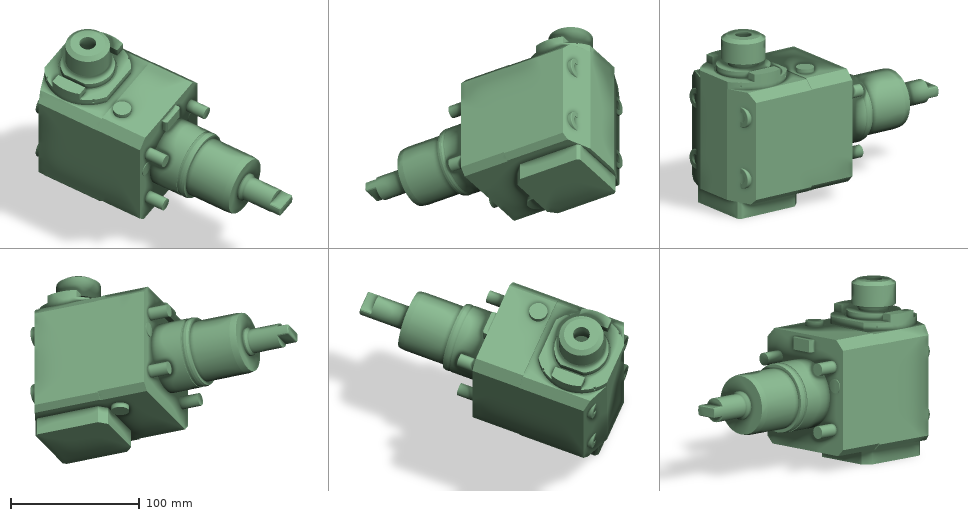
import cadquery as cq


HOUSING_WIDTH = 84.0
HOUSING_END_X = 103.6
HOUSING_SPLIT_X = 64.0
HOUSING_BOTTOM_Z = -45.0
FRONT_TOP_Z = 46.2
REAR_TOP_Z = 47.0
FRONT_TOP_CHAMFER = 7.0
REAR_TOP_CHAMFER = 7.5
FRONT_BOTTOM_CHAMFER = 4.5
REAR_BOTTOM_CHAMFER = 5.5
NOSE_FLAT_WIDTH = 35.0
NOSE_LENGTH = 10.0

FOOT_BOTTOM_Z = -59.0
FOOT_START_X = 3.8
FOOT_END_X = HOUSING_SPLIT_X
FOOT_WIDTH = 56.0
FOOT_FRONT_CHAMFER = 2.2
FOOT_REAR_CHAMFER = 6.0

SPINDLE_X = 28.8
PLATE_RADIUS = 33.9
PLATE_HALF_LENGTH = SPINDLE_X
PLATE_TOP_Z = 52.1
PLATE_RECESS_RADIUS = 23.1
PLATE_RECESS_DEPTH = 0.5
LUG_TOP_Z = 58.4
LUG_LENGTH = 25.0
LUG_INNER_Y = 23.3
MARK_ANGLE = 50.0
MARK_WIDTH = 1.6
MARK_HEIGHT = 3.8
MARK_DEPTH = 1.0

COLLAR_RADIUS = 21.3
COLLAR_FLATS = 38.0
COLLAR_TOP_Z = 56.7
NECK_RADIUS = 12.0
UPPER_NECK_RADIUS = 12.6
UPPER_NECK_Z = 58.4
NUT_RADIUS = 17.4
NUT_BOTTOM_Z = 61.5
NUT_TOP_Z = 80.66
NUT_TOP_RADIUS = 13.6
NUT_CHAMFER_HEIGHT = 2.5
NUT_HOLE_RADIUS = 6.5
NUT_HOLE_DEPTH = 15.0

SCREW_Y = 30.0
SCREW_Z = 25.0
SCREW_SHANK_RADIUS = 5.0
SCREW_END_X = 119.5
SCREW_HEAD_RADIUS = 8.2
SCREW_HEAD_X = 4.6
SCREW_HEAD_EDGE = 0.7
SCREW_SOCKET_RADIUS = 4.0

PLUG_X = 73.5
PLUG_Y = -20.5
PLUG_RADIUS = 7.15
PLUG_TOP_Z = 50.8
PLUG_BOTTOM_Z = -49.0

KEY_END_X = 108.2
KEY_WIDTH = 20.0
KEY_BOTTOM_Z = 34.2
KEY_TOP_Z = 43.8
KEY_CHAMFER = 1.3
DISC_Y = 33.2
DISC_Z = 10.2
DISC_RADIUS = 5.6
DISC_THICKNESS = 0.6

FLANGE_RADIUS = 27.4
SEAL_START_X = 128.2
SEAL_RISE_X = 129.0
SEAL_CREST_X = 130.8
SEAL_CREST_END_X = 132.7
SEAL_END_X = 134.7
SEAL_ROOT_RADIUS = 26.8
PILOT_RADIUS = 24.0
PILOT_ROUND_X = 168.5
PILOT_END_X = 173.7
PILOT_END_RADIUS = 23.2
SHOULDER_RADIUS = 11.2
SHOULDER_TAPER_X = 175.6
SHOULDER_END_X = 177.5
SHAFT_RADIUS = 9.5
TANG_START_X = 202.4
SHAFT_END_X = 212.0
TANG_THICKNESS = 8.3
TANG_CHAMFER = 0.6

EMBED = 5.0


def cylinder_z(x, y, radius, bottom, top):
    return cq.Workplane("XY", origin=(x, y, bottom)).circle(radius).extrude(top - bottom)


def cylinder_x(y, z, radius, start, end):
    return cq.Workplane("YZ", origin=(start, y, z)).circle(radius).extrude(end - start)


def block(x_range, y_range, z_range):
    sizes = [high - low for low, high in (x_range, y_range, z_range)]
    corner = (x_range[0], y_range[0], z_range[0])
    return cq.Workplane("XY").box(*sizes, centered=False).translate(corner)


def housing_section(start, end, top, top_chamfer, bottom_chamfer):
    """Length of housing with the long upper and lower edges chamfered."""
    half = HOUSING_WIDTH / 2
    body = block((start, end), (-half, half), (HOUSING_BOTTOM_Z, top))
    body = body.faces(">Z").edges("|X").chamfer(top_chamfer)
    return body.faces("<Z").edges("|X").chamfer(bottom_chamfer)


def make_housing():
    half = HOUSING_WIDTH / 2
    nose_half = NOSE_FLAT_WIDTH / 2
    front = housing_section(0, HOUSING_SPLIT_X, FRONT_TOP_Z, FRONT_TOP_CHAMFER, FRONT_BOTTOM_CHAMFER)
    plan = (
        cq.Workplane("XY", origin=(0, 0, HOUSING_BOTTOM_Z))
        .moveTo(0, -nose_half)
        .lineTo(NOSE_LENGTH, -half)
        .lineTo(HOUSING_SPLIT_X, -half)
        .lineTo(HOUSING_SPLIT_X, half)
        .lineTo(NOSE_LENGTH, half)
        .lineTo(0, nose_half)
        .close()
        .extrude(FRONT_TOP_Z - HOUSING_BOTTOM_Z)
    )
    rear = housing_section(
        HOUSING_SPLIT_X, HOUSING_END_X, REAR_TOP_Z, REAR_TOP_CHAMFER, REAR_BOTTOM_CHAMFER
    )
    return front.intersect(plan).union(rear)


def make_foot():
    half = FOOT_WIDTH / 2
    foot = block((FOOT_START_X, FOOT_END_X), (-half, half), (FOOT_BOTTOM_Z, HOUSING_BOTTOM_Z))
    foot = foot.faces("<X").edges("|Z").chamfer(FOOT_FRONT_CHAMFER)
    return foot.faces(">X").edges("|Z").chamfer(FOOT_REAR_CHAMFER)


def make_plate():
    """Round plate with two side flats, a shallow recess, two drive lugs and four rim grooves."""
    x_range = (SPINDLE_X - PLATE_HALF_LENGTH, SPINDLE_X + PLATE_HALF_LENGTH)
    y_range = (-PLATE_RADIUS, PLATE_RADIUS)
    outline = cylinder_z(SPINDLE_X, 0, PLATE_RADIUS, FRONT_TOP_Z, LUG_TOP_Z)
    plate = outline.intersect(block(x_range, y_range, (FRONT_TOP_Z, PLATE_TOP_Z)))

    lug_x = (SPINDLE_X - LUG_LENGTH / 2, SPINDLE_X + LUG_LENGTH / 2)
    for lug_y in ((LUG_INNER_Y, PLATE_RADIUS), (-PLATE_RADIUS, -LUG_INNER_Y)):
        plate = plate.union(outline.intersect(block(lug_x, lug_y, (FRONT_TOP_Z, LUG_TOP_Z))))

    recess_floor = PLATE_TOP_Z - PLATE_RECESS_DEPTH
    plate = plate.cut(cylinder_z(SPINDLE_X, 0, PLATE_RECESS_RADIUS, recess_floor, PLATE_TOP_Z))

    half_mark = MARK_WIDTH / 2
    groove = (
        cq.Workplane("YZ", origin=(PLATE_RADIUS - MARK_DEPTH, 0, PLATE_TOP_Z))
        .moveTo(-half_mark, 0)
        .lineTo(-half_mark, half_mark - MARK_HEIGHT)
        .threePointArc((0, -MARK_HEIGHT), (half_mark, half_mark - MARK_HEIGHT))
        .lineTo(half_mark, 0)
        .close()
        .extrude(2 * MARK_DEPTH)
    )
    for angle in (MARK_ANGLE, 180 - MARK_ANGLE, 180 + MARK_ANGLE, -MARK_ANGLE):
        turned = groove.rotate((0, 0, 0), (0, 0, 1), angle)
        plate = plate.cut(turned.translate((SPINDLE_X, 0, 0)))
    return plate


def make_spindle():
    """Collar with two wrench flats, stepped neck and bored clamping nut."""
    half_flats = COLLAR_FLATS / 2
    collar = cylinder_z(SPINDLE_X, 0, COLLAR_RADIUS, FRONT_TOP_Z, COLLAR_TOP_Z).intersect(
        block(
            (SPINDLE_X - COLLAR_RADIUS, SPINDLE_X + COLLAR_RADIUS),
            (-half_flats, half_flats),
            (FRONT_TOP_Z, COLLAR_TOP_Z),
        )
    )
    neck = cylinder_z(SPINDLE_X, 0, NECK_RADIUS, COLLAR_TOP_Z, UPPER_NECK_Z)
    upper_neck = cylinder_z(SPINDLE_X, 0, UPPER_NECK_RADIUS, UPPER_NECK_Z, NUT_BOTTOM_Z)
    nut = cylinder_z(SPINDLE_X, 0, NUT_RADIUS, NUT_BOTTOM_Z, NUT_TOP_Z)
    nut = nut.faces(">Z").edges().chamfer(NUT_CHAMFER_HEIGHT, NUT_RADIUS - NUT_TOP_RADIUS)
    hole = cylinder_z(SPINDLE_X, 0, NUT_HOLE_RADIUS, NUT_TOP_Z - NUT_HOLE_DEPTH, NUT_TOP_Z)
    return collar.union(neck).union(upper_neck).union(nut).cut(hole)


def make_screw(y, z):
    """Socket head standing out of the nose taper, and the shank end behind the mounting face."""
    head = cylinder_x(y, z, SCREW_HEAD_RADIUS, SCREW_HEAD_X, NOSE_LENGTH)
    head = head.faces("<X").edges().fillet(SCREW_HEAD_EDGE)
    head = head.cut(cylinder_x(y, z, SCREW_SOCKET_RADIUS, SCREW_HEAD_X, NOSE_LENGTH))
    shank = cylinder_x(y, z, SCREW_SHANK_RADIUS, HOUSING_END_X - EMBED, SCREW_END_X)
    return head, shank


def make_key():
    half = KEY_WIDTH / 2
    key = block((HOUSING_END_X - EMBED, KEY_END_X), (-half, half), (KEY_BOTTOM_Z, KEY_TOP_Z))
    return key.faces(">X").edges("|Z").chamfer(KEY_CHAMFER)


def make_shank():
    """Flange, seal band, pilot and shaft turned about X, ending in a flat tang."""
    shank = (
        cq.Workplane("XY")
        .moveTo(HOUSING_END_X - EMBED, 0)
        .lineTo(HOUSING_END_X - EMBED, FLANGE_RADIUS)
        .lineTo(SEAL_START_X, FLANGE_RADIUS)
        .lineTo(SEAL_START_X, SEAL_ROOT_RADIUS)
        .lineTo(SEAL_RISE_X, SEAL_ROOT_RADIUS)
        .lineTo(SEAL_CREST_X, FLANGE_RADIUS)
        .lineTo(SEAL_CREST_END_X, FLANGE_RADIUS)
        .lineTo(SEAL_END_X, SEAL_ROOT_RADIUS)
        .lineTo(SEAL_END_X, PILOT_RADIUS)
        .lineTo(PILOT_ROUND_X, PILOT_RADIUS)
        .tangentArcPoint((PILOT_END_X, PILOT_END_RADIUS), relative=False)
        .lineTo(PILOT_END_X, SHOULDER_RADIUS)
        .lineTo(SHOULDER_TAPER_X, SHOULDER_RADIUS)
        .lineTo(SHOULDER_END_X, SHAFT_RADIUS)
        .lineTo(SHAFT_END_X, SHAFT_RADIUS)
        .lineTo(SHAFT_END_X, 0)
        .close()
        .revolve(360, (0, 0, 0), (1, 0, 0))
    )
    tang_x = (TANG_START_X, SHAFT_END_X)
    shaft_y = (-SHAFT_RADIUS, SHAFT_RADIUS)
    half_tang = TANG_THICKNESS / 2
    for flat_z in ((half_tang, SHAFT_RADIUS), (-SHAFT_RADIUS, -half_tang)):
        shank = shank.cut(block(tang_x, shaft_y, flat_z))
    end_edges = shank.faces(">X").edges()
    return shank.faces("|Z").edges("|X").add(end_edges).chamfer(TANG_CHAMFER)


result = make_housing().union(make_foot()).union(make_plate()).union(make_spindle())
result = result.union(make_key()).union(make_shank())
result = result.union(cylinder_z(PLUG_X, PLUG_Y, PLUG_RADIUS, PLUG_BOTTOM_Z, PLUG_TOP_Z))

disc_end = HOUSING_END_X + DISC_THICKNESS
for side in (-1, 1):
    result = result.union(cylinder_x(side * DISC_Y, DISC_Z, DISC_RADIUS, HOUSING_END_X - EMBED, disc_end))
    for level in (-1, 1):
        for piece in make_screw(side * SCREW_Y, level * SCREW_Z):
            result = result.union(piece)